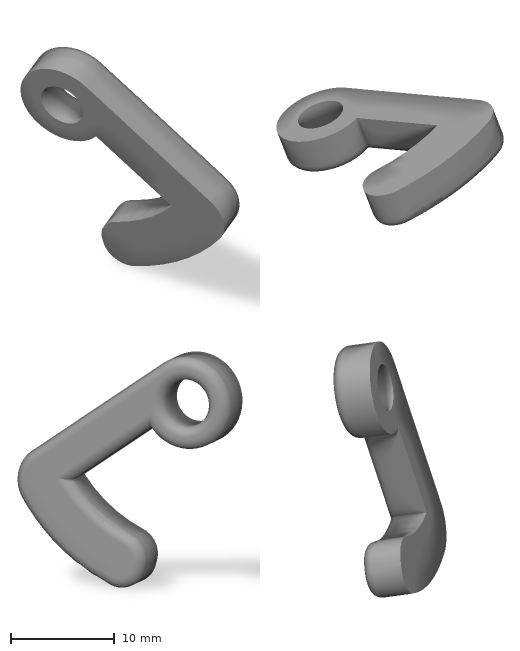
import cadquery as cq
import math

thickness = 4.0
ring_radius = 4.5
hole_diameter = 4.6
arm_slope = 35.1
hook_inner_radius = 14.5
hook_outer_radius = 20.0
tip_angle = 75.0
tip_round = 2.5
elbow_round = 3.5
back_edge_round = 1.0


def polar(radius, degrees_below_x):
    """Point at a radius from the hole axis and an angle below +X."""
    angle = math.radians(degrees_below_x)
    return (radius * math.cos(angle), -radius * math.sin(angle))


def corner_edge(x, z):
    """Selector for the edge along Y passing nearest to the point (x, z)."""
    return cq.selectors.NearestToPointSelector((x, thickness / 2, z))


def upper_edge_angle(radius):
    """Degrees below +X where the arm's upper edge reaches a radius."""
    return arm_slope - math.degrees(math.asin(ring_radius / radius))


def extrude_to_back(sketch):
    """Extrude an XZ sketch from the front face towards +Y."""
    return sketch.extrude(-thickness)


def round_corner(body, corner, radius):
    """Round the edge along Y at an outline corner."""
    return body.edges("|Y").edges(corner_edge(*corner)).fillet(radius)


def round_back(body):
    """Round the rim of the back face."""
    return body.faces(">Y").edges().fillet(back_edge_round)


def make_ring():
    """Solid disc around the hole axis."""
    return round_back(extrude_to_back(cq.Workplane("XZ").circle(ring_radius)))


def make_arm():
    """Arm from the ring to the elbow: its lower edge lies on a line through
    the hole axis and its upper edge is tangent to the ring."""
    arm = extrude_to_back(
        cq.Workplane("XZ")
        .moveTo(*polar(ring_radius, arm_slope - 180))
        .threePointArc(polar(ring_radius, arm_slope - 135), polar(ring_radius, arm_slope - 90))
        .lineTo(*elbow)
        .threePointArc(
            polar(hook_outer_radius, (elbow_angle + arm_slope) / 2),
            polar(hook_outer_radius, arm_slope),
        )
        .close()
    )
    return round_back(round_corner(arm, elbow, elbow_round))


def make_hook():
    """Curved hook from the arm's upper edge round to the tip."""
    inner_start_angle = upper_edge_angle(hook_inner_radius)
    tip_inner = polar(hook_inner_radius, tip_angle)
    tip_outer = polar(hook_outer_radius, tip_angle)
    hook = extrude_to_back(
        cq.Workplane("XZ")
        .moveTo(*elbow)
        .threePointArc(polar(hook_outer_radius, (elbow_angle + tip_angle) / 2), tip_outer)
        .lineTo(*tip_inner)
        .threePointArc(
            polar(hook_inner_radius, (inner_start_angle + tip_angle) / 2),
            polar(hook_inner_radius, inner_start_angle),
        )
        .close()
    )
    hook = round_corner(hook, elbow, elbow_round)
    for tip_corner in (tip_inner, tip_outer):
        hook = round_corner(hook, tip_corner, tip_round)
    return round_back(hook)


elbow_angle = upper_edge_angle(hook_outer_radius)
elbow = polar(hook_outer_radius, elbow_angle)

body = make_ring().union(make_arm()).union(make_hook()).clean()

result = body.cut(extrude_to_back(cq.Workplane("XZ").circle(hole_diameter / 2)))
hole_rim = cq.selectors.NearestToPointSelector((0, thickness, 0))
result = result.faces(">Y").edges("%CIRCLE").edges(hole_rim).fillet(back_edge_round)